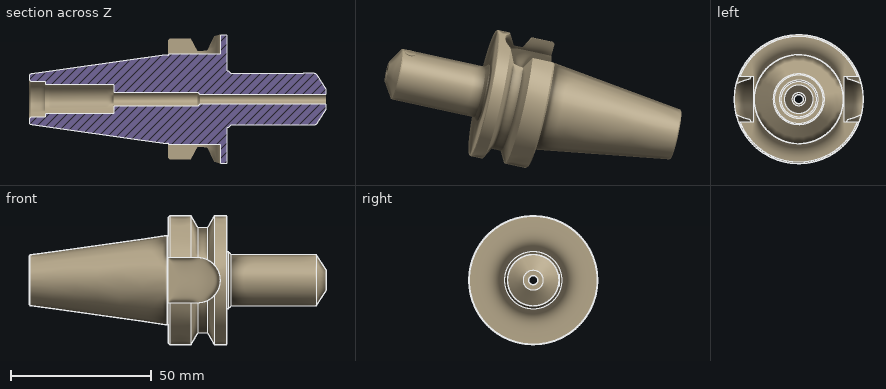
import cadquery as cq
import math

OVERALL_LENGTH = 105.66

GAUGE_DIA = 31.75
SMALL_DIA = 18.05
TAPER_LENGTH = 48.4
TAPER_CHAMFER = 0.4
NECK_END = 0.65
NECK_CHAMFER = 0.2

FLANGE_DIA = 45.92
FLANGE_START = 1.0
FLANGE_END = 21.95
FLANGE_CHAMFER = 0.6
FLANGE_REAR_CHAMFER = 0.25
GROOVE_CENTER = 13.3
GROOVE_FLOOR_DIA = 37.6
GROOVE_FLOOR_WIDTH = 3.5
GROOVE_HALF_ANGLE = 30

SLOT_WIDTH = 16.1
SLOT_FLOOR = 16.1
SLOT_END = 19.55

ARBOR_DIA = 18.39
COLLAR_DIA = 20.4
COLLAR_END = 23.4
COLLAR_CHAMFER = 1.0
TIP_DIA = 7.1
TIP_CONE_LENGTH = 3.55
TIP_BEVEL_LENGTH = 0.4
TIP_BEVEL_DEPTH = 0.1

PIN_DIA = 3.99
PIN_TO_TIP = 6.3
PIN_HEIGHT = 0.15

PILOT_DIA = 12.55
PILOT_CHAMFER = 0.55
PILOT_DEPTH = 5.8
TAP_DIA = 10.16
TAP_DEPTH = 30.0
COOLANT_DIA = 4.7
COOLANT_DEPTH = 60.0
THROUGH_DIA = 3.17

TAPER_START = -TAPER_LENGTH
TIP_X = TAPER_START + OVERALL_LENGTH


def make_body():
    """Revolved outer shape: taper, flange, V-groove and arbor."""
    gauge_r = GAUGE_DIA / 2
    small_r = SMALL_DIA / 2
    taper_slope = (gauge_r - small_r) / TAPER_LENGTH
    flange_r = FLANGE_DIA / 2
    floor_r = GROOVE_FLOOR_DIA / 2
    arbor_r = ARBOR_DIA / 2
    collar_r = COLLAR_DIA / 2
    half_floor = GROOVE_FLOOR_WIDTH / 2
    half_mouth = half_floor + (flange_r - floor_r) * math.tan(math.radians(GROOVE_HALF_ANGLE))
    cone_start = TIP_X - TIP_CONE_LENGTH
    outline = [
        (TAPER_START, 0),
        (TAPER_START, small_r - TAPER_CHAMFER),
        (TAPER_START + TAPER_CHAMFER, small_r + TAPER_CHAMFER * taper_slope),
        (0, gauge_r),
        (NECK_END, gauge_r),
        (FLANGE_START, gauge_r - NECK_CHAMFER),
        (FLANGE_START, flange_r - FLANGE_CHAMFER),
        (FLANGE_START + FLANGE_CHAMFER, flange_r),
        (GROOVE_CENTER - half_mouth, flange_r),
        (GROOVE_CENTER - half_floor, floor_r),
        (GROOVE_CENTER + half_floor, floor_r),
        (GROOVE_CENTER + half_mouth, flange_r),
        (FLANGE_END - FLANGE_REAR_CHAMFER, flange_r),
        (FLANGE_END, flange_r - FLANGE_REAR_CHAMFER),
        (FLANGE_END, collar_r),
        (COLLAR_END - COLLAR_CHAMFER, collar_r),
        (COLLAR_END, arbor_r),
        (cone_start - TIP_BEVEL_LENGTH, arbor_r),
        (cone_start, arbor_r - TIP_BEVEL_DEPTH),
        (TIP_X, TIP_DIA / 2),
        (TIP_X, 0),
    ]
    return cq.Workplane("XY").polyline(outline).close().revolve(360, (0, 0, 0), (1, 0, 0))


def make_drive_slot(side):
    """Round-ended drive slot on the +Y (side = 1) or -Y (side = -1) flank."""
    slot_r = SLOT_WIDTH / 2
    arc_x = SLOT_END - slot_r
    return (
        cq.Workplane("XZ", origin=(0, side * SLOT_FLOOR, 0))
        .moveTo(FLANGE_START, -slot_r)
        .lineTo(arc_x, -slot_r)
        .threePointArc((SLOT_END, 0), (arc_x, slot_r))
        .lineTo(FLANGE_START, slot_r)
        .close()
        .extrude(-side * FLANGE_DIA / 2)
    )


def make_bore():
    """Stepped bore: pilot, thread core, coolant bore and through hole."""
    pilot_r = PILOT_DIA / 2
    tap_r = TAP_DIA / 2
    coolant_r = COOLANT_DIA / 2
    through_r = THROUGH_DIA / 2
    outline = [
        (TAPER_START, 0),
        (TAPER_START, pilot_r + PILOT_CHAMFER),
        (TAPER_START + PILOT_CHAMFER, pilot_r),
        (TAPER_START + PILOT_DEPTH, pilot_r),
        (TAPER_START + PILOT_DEPTH, tap_r),
        (TAPER_START + TAP_DEPTH, tap_r),
        (TAPER_START + TAP_DEPTH, coolant_r),
        (TAPER_START + COOLANT_DEPTH, coolant_r),
        (TAPER_START + COOLANT_DEPTH + coolant_r - through_r, through_r),
        (TIP_X, through_r),
        (TIP_X, 0),
    ]
    return cq.Workplane("XY").polyline(outline).close().revolve(360, (0, 0, 0), (1, 0, 0))


def make_pin():
    """Short round pin standing slightly proud of the arbor on the +Y side."""
    seat_y = ARBOR_DIA / 4
    return (
        cq.Workplane("XZ", origin=(TIP_X - PIN_TO_TIP, seat_y, 0))
        .circle(PIN_DIA / 2)
        .extrude(-(ARBOR_DIA / 2 + PIN_HEIGHT - seat_y))
    )


result = make_body().union(make_pin())
for flank in (1, -1):
    result = result.cut(make_drive_slot(flank))
result = result.cut(make_bore())